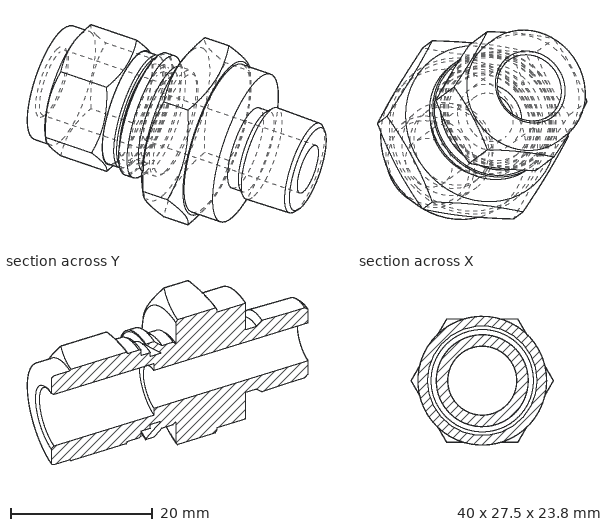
import cadquery as cq
import math


nut_collar_dia = 17.0
nut_edge_radius = 0.52
nut_hex_start = 2.92
nut_hex_end = 11.9
nut_across_flats = 17.45
nut_skirt_dia = 16.8
nut_skirt_end = 14.0
nut_skirt_chamfer = 0.35

neck_dia = 14.5
neck_end = 15.45
recess_floor_dia = 13.05
ring_start = 14.72
ring_end = 16.05
ring_dia = 18.25
ring_cone_end = 17.25
ring_rim_width = 0.25
ring_recess_end = 17.1
shoulder_dia = 15.8
shoulder_chamfer = 0.45

body_hex_start = 19.4
body_hex_end = 25.85
body_across_flats = 23.8
body_hex_face_dia = 22.9
flange_dia = 22.1
flange_end = 30.3

relief_dia = 12.0
relief_end = 31.95
taper_start = 32.8
taper_large_dia = 13.7
taper_small_dia = 13.4
end_chamfer = 0.52
length = 40.0

tube_bore_dia = 9.72
tube_mouth_dia = 10.55
tube_bore_depth = 16.0
through_bore_dia = 7.12

hex_chamfer_angle = math.radians(30)


def revolve_about_x(points):
    """Solid of revolution from (station, radius) points, closed along the axis."""
    outline = [(points[0][0], 0)] + points + [(points[-1][0], 0)]
    return cq.Workplane("XY").polyline(outline).close().revolve(360, (0, 0, 0), (1, 0, 0))


def cylinder(start, end, diameter):
    return revolve_about_x([(start, diameter / 2), (end, diameter / 2)])


def chamfered_hexagon(start, end, across_flats, face_dia):
    """Hexagon with corners on Y and both ends turned down to face_dia."""
    across_corners = across_flats / math.cos(math.pi / 6)
    prism = cq.Workplane("YZ", origin=(start, 0, 0)).polygon(6, across_corners).extrude(end - start)
    face_radius = face_dia / 2
    middle = (start + end) / 2
    peak_radius = face_radius + (middle - start) / math.tan(hex_chamfer_angle)
    envelope = revolve_about_x([(start, face_radius), (middle, peak_radius), (end, face_radius)])
    return prism.intersect(envelope)


def nut():
    collar = cylinder(0, nut_hex_start, nut_collar_dia).faces("<X").edges().fillet(nut_edge_radius)
    hexagon = chamfered_hexagon(nut_hex_start, nut_hex_end, nut_across_flats, nut_collar_dia)
    skirt = cylinder(nut_hex_end, nut_skirt_end, nut_skirt_dia)
    skirt = skirt.faces(">X").edges().chamfer(nut_skirt_chamfer, nut_skirt_chamfer / 2)
    return collar.union(hexagon).union(skirt)


def ringed_neck():
    return revolve_about_x([
        (nut_skirt_end, neck_dia / 2),
        (neck_end, neck_dia / 2),
        (neck_end, recess_floor_dia / 2),
        (ring_recess_end, recess_floor_dia / 2),
        (ring_start, ring_dia / 2 - ring_rim_width),
        (ring_start, ring_dia / 2),
        (ring_end, ring_dia / 2),
        (ring_cone_end, shoulder_dia / 2),
        (body_hex_start - shoulder_chamfer, shoulder_dia / 2),
        (body_hex_start, shoulder_dia / 2 - shoulder_chamfer),
    ])


def male_end():
    return revolve_about_x([
        (flange_end, relief_dia / 2),
        (relief_end, relief_dia / 2),
        (taper_start, taper_large_dia / 2),
        (length - end_chamfer, taper_small_dia / 2),
        (length, taper_small_dia / 2 - end_chamfer),
    ])


def bores():
    mouth_depth = (tube_mouth_dia - tube_bore_dia) / 2
    tube_bore = revolve_about_x([
        (0, tube_mouth_dia / 2),
        (mouth_depth, tube_bore_dia / 2),
        (tube_bore_depth, tube_bore_dia / 2),
    ])
    return tube_bore.union(cylinder(0, length, through_bore_dia))


body_hexagon = chamfered_hexagon(body_hex_start, body_hex_end, body_across_flats, body_hex_face_dia)
flange = cylinder(body_hex_end, flange_end, flange_dia)

result = nut().union(ringed_neck()).union(body_hexagon).union(flange).union(male_end()).cut(bores())